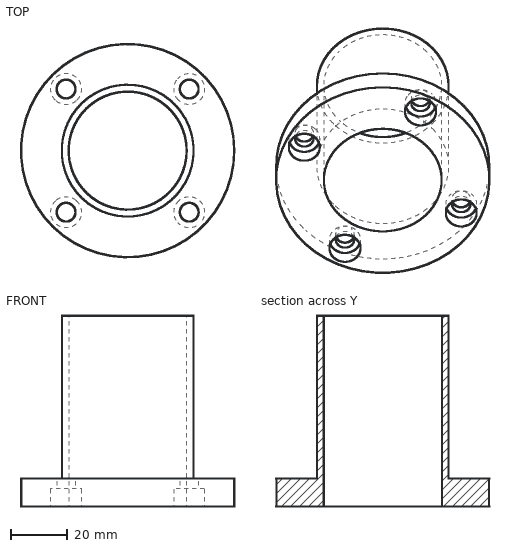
import cadquery as cq

flange_diameter = 76.0
flange_thickness = 10.0

total_height = 68.0
tube_diameter = 47.0
wall_thickness = 2.5
bore_diameter = tube_diameter - 2 * wall_thickness

bolt_hole_count = 4
bolt_hole_diameter = 6.6
counterbore_diameter = 11.0
counterbore_depth = 6.4
bolt_circle_diameter = 62.0
first_bolt_angle = 45.0


def make_body():
    """Flange disc and tube joined on a common vertical axis."""
    flange = cq.Workplane("XY").circle(flange_diameter / 2).extrude(flange_thickness)
    tube = cq.Workplane("XY").circle(tube_diameter / 2).extrude(total_height)
    return flange.union(tube)


def make_bore():
    """Cylinder that hollows the tube and opens the flange."""
    return cq.Workplane("XY").circle(bore_diameter / 2).extrude(total_height)


def make_bolt_circle_cylinders(diameter, height):
    """Evenly spaced cylinders on the bolt circle, rising from the flange underside."""
    return (
        cq.Workplane("XY")
        .polarArray(bolt_circle_diameter / 2, first_bolt_angle, 360, bolt_hole_count)
        .circle(diameter / 2)
        .extrude(height)
    )


bolt_holes = make_bolt_circle_cylinders(bolt_hole_diameter, flange_thickness)
counterbores = make_bolt_circle_cylinders(counterbore_diameter, counterbore_depth)

result = make_body().cut(make_bore()).cut(bolt_holes).cut(counterbores)